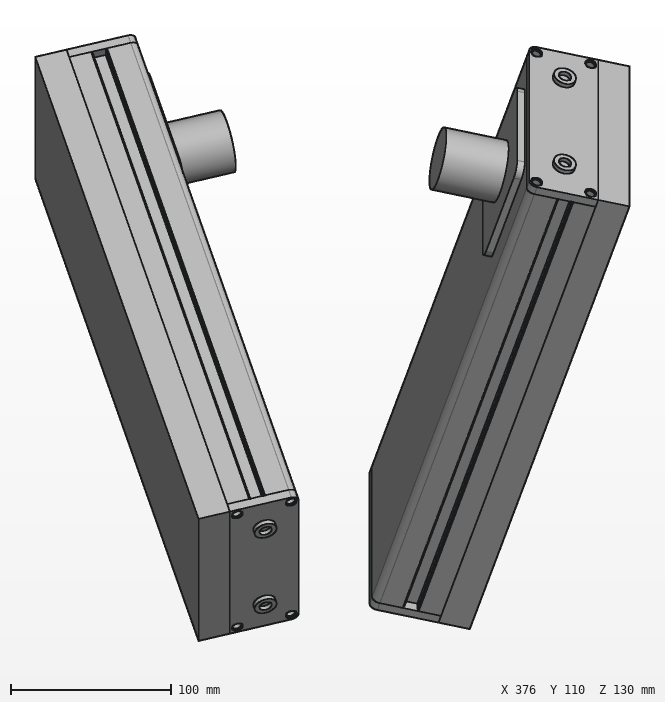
import cadquery as cq

height = 130.0
total_depth = 110.0
window_depth = 20.3
flange_thickness = 5.0
duct_length = 40.2
housing_depth = total_depth - window_depth - flange_thickness - duct_length

overall_length = 376.0
boss_projection = 3.0
body_length = overall_length - 2 * boss_projection
cap_thickness = 6.0
housing_length = body_length - 2 * cap_thickness

housing_front = window_depth
housing_back = housing_front + housing_depth
flange_back = housing_back + flange_thickness

rear_edge_radius = 5.0

slot_offset = 19.5
slot_center_y = housing_front + slot_offset
slot_width = 8.3
slot_depth = 6.8
slot_step_width = 0.95
slot_step_depth = 2.0

boss_diameter = 14.3
boss_spacing = 80.0
boss_hole_diameter = 8.0
boss_hole_depth = 3.0
screw_inset_y = 5.0
screw_inset_z = 5.3
screw_hole_diameter = 5.5
screw_recess_diameter = 7.0
screw_recess_depth = 1.0

flange_side = 80.0
flange_corner_radius = 8.0
flange_inset_x = 10.0
duct_diameter = 40.0
duct_x = -body_length / 2 + flange_inset_x + flange_side / 2


def make_profile_bar(length):
    """Bar of the housing section, rear long edges rounded, centered on X and Z."""
    bar = cq.Workplane("XY").box(length, housing_depth, height)
    bar = bar.edges("|X and >Y").fillet(rear_edge_radius)
    return bar.translate((0, housing_front + housing_depth / 2, 0))


def make_window():
    """Plain front block over the full body length."""
    block = cq.Workplane("XY").box(body_length, window_depth, height)
    return block.translate((0, window_depth / 2, 0))


def make_slot_cutter():
    """Slot in the upper face, with a shallow wider step at its mouth."""
    half_width = slot_width / 2
    lip_half_width = half_width + slot_step_width
    top = height / 2
    return (
        cq.Workplane("YZ", origin=(-housing_length / 2, slot_center_y, 0))
        .moveTo(-lip_half_width, top)
        .lineTo(lip_half_width, top)
        .lineTo(lip_half_width, top - slot_step_depth)
        .lineTo(half_width, top - slot_step_depth)
        .lineTo(half_width, top - slot_depth)
        .lineTo(-half_width, top - slot_depth)
        .lineTo(-half_width, top - slot_step_depth)
        .lineTo(-lip_half_width, top - slot_step_depth)
        .close()
        .extrude(housing_length)
    )


def make_housing():
    """Extruded housing with one slot above and its mirror image below."""
    slot = make_slot_cutter()
    return make_profile_bar(housing_length).cut(slot).cut(slot.mirror("XY"))


def make_left_cap():
    """End cap of the -X end, with two hollow bosses and four recessed screw holes."""
    outer_x = -body_length / 2
    inner_x = outer_x + cap_thickness
    cap = make_profile_bar(cap_thickness).translate((outer_x + cap_thickness / 2, 0, 0))

    boss_y = housing_front + housing_depth / 2
    boss_places = [(boss_y, -boss_spacing / 2), (boss_y, boss_spacing / 2)]
    boss_face = cq.Workplane("YZ", origin=(-overall_length / 2, 0, 0))
    bosses = boss_face.pushPoints(boss_places).circle(boss_diameter / 2).extrude(boss_projection)
    boss_holes = boss_face.pushPoints(boss_places).circle(boss_hole_diameter / 2).extrude(boss_hole_depth)
    cap = cap.union(bosses).cut(boss_holes)

    screw_z = height / 2 - screw_inset_z
    screw_places = [
        (y, z)
        for y in (housing_front + screw_inset_y, housing_back - screw_inset_y)
        for z in (-screw_z, screw_z)
    ]
    cap_face = cq.Workplane("YZ", origin=(outer_x, 0, 0)).pushPoints(screw_places)
    recesses = cap_face.circle(screw_recess_diameter / 2).extrude(screw_recess_depth)
    holes = cap_face.circle(screw_hole_diameter / 2).extrude(inner_x - outer_x)
    return cap.cut(recesses).cut(holes)


def make_duct():
    """Square flange with rounded corners and a round stub behind it."""
    flange = (
        cq.Workplane("XY")
        .box(flange_side, flange_thickness, flange_side)
        .edges("|Y")
        .fillet(flange_corner_radius)
        .translate((duct_x, housing_back + flange_thickness / 2, 0))
    )
    stub = (
        cq.Workplane("XZ", origin=(duct_x, flange_back, 0))
        .circle(duct_diameter / 2)
        .extrude(-duct_length)
    )
    return flange.union(stub)


window = make_window()
housing = make_housing()
left_cap = make_left_cap()
end_caps = [left_cap, left_cap.mirror("YZ")]
duct = make_duct()

result = cq.Compound.makeCompound(
    [window.val(), housing.val(), *[cap.val() for cap in end_caps], duct.val()]
)